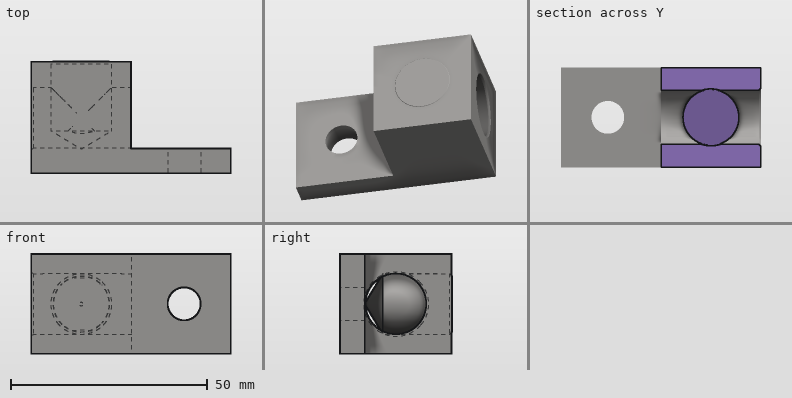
import cadquery as cq
import math

length = 50.8
height = 25.4
block_length = length / 2
block_depth = 28.4
tongue_thickness = 6.35
mid_height = height / 2

bolt_hole_x = 38.9
bolt_hole_radius = 4.15

wire_bore_y = 14.2
wire_bore_radius = 7.7
wire_bore_chamfer = 0.5

screw_x = block_length / 2
screw_radius = 7.7
screw_end_y = 28.5
screw_end_chamfer = 0.65
cone_base_y = 10.85
cone_half_angle = 59.0
cone_length = screw_radius / math.tan(math.radians(cone_half_angle))
cone_tip_y = cone_base_y - cone_length


def make_screw():
    """Pointed screw, revolved about its own axis parallel to Y."""
    profile = (
        cq.Workplane("XY")
        .moveTo(0, cone_tip_y)
        .lineTo(screw_radius, cone_base_y)
        .lineTo(screw_radius, screw_end_y - screw_end_chamfer)
        .lineTo(screw_radius - screw_end_chamfer, screw_end_y)
        .lineTo(0, screw_end_y)
        .close()
    )
    screw = profile.revolve(360, (0, 0, 0), (0, 1, 0))
    return screw.translate((screw_x, 0, mid_height))


def make_wire_bore():
    """Cutter for the wire bore, flared at the entry face."""
    bore = (
        cq.Workplane("YZ")
        .center(wire_bore_y, mid_height)
        .circle(wire_bore_radius)
        .extrude(block_length)
    )
    entry = (
        cq.Workplane("YZ")
        .center(wire_bore_y, mid_height)
        .circle(wire_bore_radius + wire_bore_chamfer)
        .extrude(wire_bore_chamfer, taper=45)
    )
    return bore.union(entry)


def make_bolt_hole():
    """Cutter for the hole through the tongue."""
    hole = cq.Workplane("XZ").center(bolt_hole_x, mid_height).circle(bolt_hole_radius)
    return hole.extrude(-tongue_thickness)


def make_lug(screw):
    """Lug with its holes and a recess that matches the screw."""
    outline = (
        cq.Workplane("XY")
        .moveTo(0, 0)
        .lineTo(length, 0)
        .lineTo(length, tongue_thickness)
        .lineTo(block_length, tongue_thickness)
        .lineTo(block_length, block_depth)
        .lineTo(0, block_depth)
        .close()
    )
    lug = outline.extrude(height)
    return lug.cut(make_wire_bore()).cut(make_bolt_hole()).cut(screw)


screw = make_screw()
lug = make_lug(screw)

result = cq.Compound.makeCompound([*lug.solids().vals(), *screw.solids().vals()])